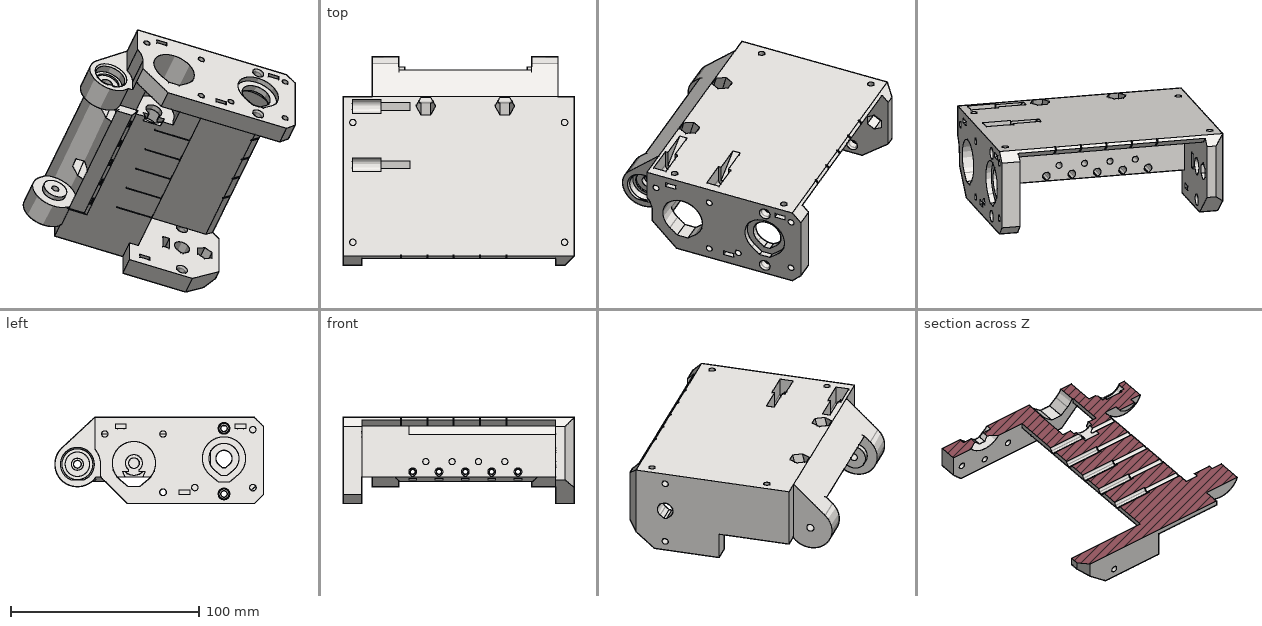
import cadquery as cq
import math

width = 123.0
height = 46.0
wall_thickness = 10.0
wall_rear = 89.8
corner_chamfer = 5.0
right_inner = width - wall_thickness
teardrop_flank_angle = 40.0

body_front = 46.0
body_bottom = 14.2
plate_underside = 41.3
plate_front = 3.6
lip_bottom = height - (corner_chamfer - plate_front)
plate_lip_run = 3.9
body_bevel = 4.4
body_bevel_start = 35.0

hinge_y = 99.05
hinge_z = 21.0
hinge_radius = 12.0
arm_left = 15.4
arm_right = 114.3
arm_overlap = 1.0
drum_left = 29.6
drum_right = 100.3
drum_radius = 12.8
hub_diameter = 13.0
left_hub_length = 3.3
right_hub_length = 2.5
shaft_diameter = 4.0
bearing_diameter = 16.4
bearing_mouth_diameter = 18.0
bearing_flat = 8.4
bearing_depth = 5.0
bearing_taper_depth = 1.0
bearing_relief_depth = 1.0
shaft_clearance_diameter = 6.4
shaft_clearance_depth = 3.0

rail_bottom = 11.8
rail_drop = body_bottom - rail_bottom
rail_front = 79.0
rail_rear = 92.0
rail_left = 27.6
rail_right = 103.3

left_wall_rear_low = 86.7
left_relief_radius = 12.3

right_slope_y = 15.2
right_slope_z = 12.7
right_wall_rear_low = 51.0

motor_y = 69.0
motor_z = 21.6
motor_hole_offset = 15.5
motor_hole_diameter = 3.4
motor_boss_diameter = 23.0
motor_boss_flat = 12.4

cavity_end = 30.0
cavity_half_width = 11.0
web_thickness = 3.0
web_opening_diameter = 9.0
web_neck_width = 5.6
web_flare_z = 17.1
web_flare_top_width = 12.0
web_flare_bottom_width = 9.5
chamber_diameter = 13.0
chamber_depth = 8.0
motor_shaft_diameter = 5.6
motor_shaft_depth = 10.0

head_channel_diameter = 7.2
head_channel_start = 4.9
key_slot_start = 20.1
key_slot_end = 35.5
key_slot_width = 4.2

drive_y = 21.1
drive_z = 24.1
drive_seat_diameter = 23.0
drive_seat_flat = 12.5
drive_seat_depth = 3.0
drive_bore_length = 3.5
drive_flare_diameter = 23.0
drive_bore_diameter = 16.0
drive_bore_tip = 9.0
drive_exit_diameter = 8.5
drive_exit_tip = 4.9
rod_screw_spacing = 34.9
rod_screw_z = 22.65
rod_screw_diameter = 3.3
rod_head_diameter = 6.2
rod_seat_diameter = 5.21
rod_taper_depth = 1.5
rod_seat_depth = 5.0

screw_diameter = 3.4
wall_screws = [(5.76, 39.4), (5.76, 8.6), (36.6, 8.6)]
top_screw_inset = 5.2
top_screw_ys = [12.3, 76.0]
top_screw_depth = 10.0
nut_width = 5.8
nut_thickness = 2.4
nut_slot_depth = 8.0
top_nut_z = 41.15
low_nut_y = 42.2
low_nut_z = 6.0
hex_pocket_y = 8.1
hex_pocket_z = 24.9
hex_pocket_diameter = 9.4
wall_pocket_depth = 8.0
side_pocket_front = 28.3
side_pocket_rear = 32.0
side_pocket_bottom = 20.0
side_pocket_top = 28.3

filament_count = 5
filament_pitch = 14.0
first_filament_x = 37.0
filament_z = 17.0
filament_diameter = 2.6
tube_diameter = 4.1
tube_tip = 2.5
tube_depth = 20.0
body_screw_z = 22.4
body_screw_diameter = 3.3
body_screw_depth = 20.0
rail_slot_width = 4.0
rail_slot_height = 0.7
rail_slot_z = 13.1
rail_slot_depth = 5.0
lip_groove_width = 0.5
lip_groove_depth = 0.6
first_groove_x = 30.8

well_xs = [44.0, 86.0]
well_y = 84.7
well_diameter = 10.4
well_length = 28.0
well_tilt = 14.0


def side_prism(points, x_start, x_end):
    """Extrude a (Y, Z) outline along X."""
    outline = cq.Workplane("YZ", origin=(x_start, 0, 0)).polyline(points).close()
    return outline.extrude(x_end - x_start)


def rod_x(y, z, diameter, x_start, x_end):
    """Cylinder along X."""
    return cq.Workplane("YZ", origin=(x_start, y, z)).circle(diameter / 2).extrude(x_end - x_start)


def rod_y(x, z, diameter, y_start, y_end):
    """Cylinder along Y."""
    return cq.Workplane("XZ", origin=(x, y_start, z)).circle(diameter / 2).extrude(y_start - y_end)


def block(x_start, x_end, y_start, y_end, z_start, z_end):
    """Axis-aligned box given by its limits."""
    size = (x_end - x_start, y_end - y_start, z_end - z_start)
    return cq.Workplane("XY").box(*size, centered=False).translate((x_start, y_start, z_start))


def drop_points(radius, tip):
    """Downward point with flanks tangent to a circle, cut off at the tip depth."""
    slope_sin = math.sin(math.radians(teardrop_flank_angle))
    slope_cos = math.cos(math.radians(teardrop_flank_angle))
    side = radius * slope_sin
    drop = radius * slope_cos
    half_tip = (radius - tip * slope_cos) / slope_sin
    return [(-side, -drop), (-half_tip, -tip), (half_tip, -tip), (side, -drop), (0, 0)]


def teardrop_x(y, z, diameter, tip, x_start, x_end):
    """Teardrop bore along X with its point facing down."""
    plane = cq.Workplane("YZ", origin=(x_start, y, z))
    point = plane.polyline(drop_points(diameter / 2, tip)).close().extrude(x_end - x_start)
    return rod_x(y, z, diameter, x_start, x_end).union(point)


def teardrop_y(x, z, diameter, tip, y_start, y_end):
    """Teardrop bore along Y with its point facing down."""
    plane = cq.Workplane("XZ", origin=(x, y_start, z))
    point = plane.polyline(drop_points(diameter / 2, tip)).close().extrude(y_start - y_end)
    return rod_y(x, z, diameter, y_start, y_end).union(point)


def left_wall():
    return side_prism([
        (0, corner_chamfer), (corner_chamfer, 0), (left_wall_rear_low - body_bottom, 0),
        (left_wall_rear_low, body_bottom), (wall_rear, body_bottom), (wall_rear, height),
        (corner_chamfer, height), (0, height - corner_chamfer),
    ], 0, wall_thickness)


def left_rear_relief():
    """Hinge clearance behind the left wall, round above the hinge axis and straight below it."""
    rounded = rod_x(hinge_y, hinge_z, 2 * left_relief_radius, 0, arm_left)
    straight = block(0, arm_left, left_wall_rear_low, wall_rear, body_bottom, hinge_z)
    return rounded.union(straight)


def right_wall():
    wall = side_prism([
        (0, right_slope_z), (right_slope_y, 0), (right_wall_rear_low, 0),
        (right_wall_rear_low, body_bottom), (wall_rear, body_bottom), (wall_rear, height),
        (corner_chamfer, height), (0, height - corner_chamfer),
    ], right_inner, width)
    corner = cq.Workplane("XY").polyline([
        (width - corner_chamfer, 0), (width, corner_chamfer), (width, 0),
    ]).close().extrude(height)
    return wall.cut(corner)


def cross_body():
    body = side_prism([
        (plate_front, lip_bottom), (plate_front + plate_lip_run, plate_underside),
        (body_front, plate_underside), (body_front, body_bottom), (wall_rear, body_bottom),
        (wall_rear, height), (corner_chamfer, height),
    ], wall_thickness, right_inner)
    bevel = side_prism([
        (body_front, plate_underside), (body_front + body_bevel, plate_underside),
        (body_front, plate_underside - body_bevel),
    ], body_bevel_start, right_inner)
    return body.cut(bevel)


def hinge_arms():
    """Rounded arms whose sloping back is tangent to the hinge circle."""
    rise = height - hinge_z
    run = wall_rear - hinge_y
    angle = math.atan2(rise, run) - math.acos(hinge_radius / math.hypot(rise, run))
    tangent = (hinge_y + hinge_radius * math.cos(angle), hinge_z + hinge_radius * math.sin(angle))
    low_y = hinge_y - math.sqrt(hinge_radius ** 2 - (hinge_z - body_bottom) ** 2)
    return (
        cq.Workplane("YZ", origin=(arm_left, 0, 0))
        .moveTo(wall_rear - arm_overlap, height).lineTo(wall_rear, height).lineTo(*tangent)
        .threePointArc((hinge_y, hinge_z - hinge_radius), (low_y, body_bottom))
        .lineTo(wall_rear - arm_overlap, body_bottom).close()
        .extrude(arm_right - arm_left)
    )


def rail():
    profile = side_prism([
        (rail_front, body_bottom), (rail_front + rail_drop, rail_bottom),
        (rail_rear, rail_bottom), (rail_rear, body_bottom),
    ], rail_left, rail_right)
    ends = cq.Workplane("XZ").polyline([
        (rail_left, body_bottom), (rail_left + rail_drop, rail_bottom),
        (rail_right - rail_drop, rail_bottom), (rail_right, body_bottom),
    ]).close().extrude(-rail_rear)
    return profile.intersect(ends)


def hinge_hubs():
    left = rod_x(hinge_y, hinge_z, hub_diameter, drum_left, drum_left + left_hub_length)
    right = rod_x(hinge_y, hinge_z, hub_diameter, drum_right - right_hub_length, drum_right)
    return left.union(right)


def bearing_seat():
    """Flat-bottomed bearing seat with a tapered mouth, stepping down to the shaft."""
    taper_end = arm_left + bearing_taper_depth
    seat_end = arm_left + bearing_depth
    relief_end = seat_end + bearing_relief_depth
    mouth = (
        cq.Workplane("YZ", origin=(arm_left, hinge_y, hinge_z)).circle(bearing_mouth_diameter / 2)
        .workplane(offset=bearing_taper_depth).circle(bearing_diameter / 2).loft()
    )
    seat = mouth.union(rod_x(hinge_y, hinge_z, bearing_diameter, taper_end, seat_end))
    reach = bearing_mouth_diameter
    keep = block(arm_left, seat_end, hinge_y - reach, hinge_y + reach,
                 hinge_z - bearing_flat, hinge_z + reach)
    seat = seat.intersect(keep)
    seat = seat.union(rod_x(hinge_y, hinge_z, hub_diameter, seat_end, relief_end))
    return seat.union(rod_x(hinge_y, hinge_z, shaft_clearance_diameter, relief_end,
                            relief_end + shaft_clearance_depth))


def motor_mount():
    """Pilot bore through the left wall and the low mounting hole."""
    cutter = teardrop_x(motor_y, motor_z, motor_boss_diameter, motor_boss_flat, 0, wall_thickness)
    low_y = motor_y - motor_hole_offset
    low_z = motor_z - motor_hole_offset
    return cutter.union(rod_x(low_y, low_z, motor_hole_diameter, 0, wall_thickness))


def pulley_cavity():
    """Arched cavity open at the bottom, ending in a slotted web, a round chamber and a shaft hole."""
    arch = rod_x(motor_y, motor_z, motor_boss_diameter, wall_thickness, cavity_end)
    mouth = block(wall_thickness, cavity_end, motor_y - cavity_half_width, motor_y + cavity_half_width,
                  body_bottom, motor_z)
    web_end = cavity_end + web_thickness
    opening = rod_x(motor_y, motor_z, web_opening_diameter, cavity_end, web_end)
    half_neck = web_neck_width / 2
    neck = block(cavity_end, web_end, motor_y - half_neck, motor_y + half_neck, body_bottom, motor_z)
    flare = side_prism([
        (motor_y - web_flare_top_width / 2, web_flare_z),
        (motor_y + web_flare_top_width / 2, web_flare_z),
        (motor_y + web_flare_bottom_width / 2, body_bottom),
        (motor_y - web_flare_bottom_width / 2, body_bottom),
    ], cavity_end, web_end)
    chamber_end = web_end + chamber_depth
    chamber = rod_x(motor_y, motor_z, chamber_diameter, web_end, chamber_end)
    shaft = rod_x(motor_y, motor_z, motor_shaft_diameter, chamber_end, chamber_end + motor_shaft_depth)
    return arch.union(mouth).union(opening).union(neck).union(flare).union(chamber).union(shaft)


def motor_screw_access(y):
    """Screw hole, head channel open to the top face, and a ramp for the key."""
    z = motor_z + motor_hole_offset
    half_head = head_channel_diameter / 2
    half_slot = key_slot_width / 2
    hole = rod_x(y, z, motor_hole_diameter, 0, head_channel_start)
    channel = rod_x(y, z, head_channel_diameter, head_channel_start, key_slot_start)
    opening = block(head_channel_start, key_slot_start, y - half_head, y + half_head, z, height)
    ramp = cq.Workplane("XZ", origin=(0, y + half_slot, 0)).polyline([
        (key_slot_start, z), (key_slot_end, height), (key_slot_start, height),
    ]).close().extrude(key_slot_width)
    return hole.union(channel).union(opening).union(ramp)


def drive_bore():
    """Seated bore flaring toward the inside of the left wall, and a smaller exit on the right."""
    bore_end = drive_seat_depth + drive_bore_length
    cutter = teardrop_x(drive_y, drive_z, drive_seat_diameter, drive_seat_flat, 0, drive_seat_depth)
    flare = (
        cq.Workplane("YZ", origin=(bore_end, drive_y, drive_z)).circle(drive_bore_diameter / 2)
        .workplane(offset=wall_thickness - bore_end).circle(drive_flare_diameter / 2).loft()
    )
    cutter = cutter.union(flare)
    cutter = cutter.union(teardrop_x(drive_y, drive_z, drive_bore_diameter, drive_bore_tip,
                                     drive_seat_depth, wall_thickness))
    return cutter.union(teardrop_x(drive_y, drive_z, drive_exit_diameter, drive_exit_tip,
                                   right_inner, width))


def rod_screw(z, x_start):
    """Through hole with a tapered mouth and a head seat, entered from the -X side of a wall."""
    taper = (
        cq.Workplane("YZ", origin=(x_start, drive_y, z)).circle(rod_head_diameter / 2)
        .workplane(offset=rod_taper_depth).circle(rod_seat_diameter / 2).loft()
    )
    seat = rod_x(drive_y, z, rod_seat_diameter, x_start, x_start + rod_seat_depth)
    hole = rod_x(drive_y, z, rod_screw_diameter, x_start, x_start + wall_thickness)
    return taper.union(seat).union(hole)


def nut_slot(y, z, x_start):
    half_width = nut_width / 2
    half_thickness = nut_thickness / 2
    return block(x_start, x_start + nut_slot_depth, y - half_width, y + half_width,
                 z - half_thickness, z + half_thickness)


def top_screw(x, y):
    plane = cq.Workplane("XY", origin=(x, y, height - top_screw_depth))
    return plane.circle(screw_diameter / 2).extrude(top_screw_depth)


def hex_well(x):
    """Hexagonal well leaning rearward, trimmed level with the top face."""
    well = (
        cq.Workplane("XY", origin=(x, well_y, height))
        .transformed(rotate=(well_tilt, 0, 0))
        .polygon(6, well_diameter).extrude(well_length, both=True)
    )
    below = block(x - well_diameter, x + well_diameter, 0, hinge_y, 0, height)
    return well.intersect(below)


def right_wall_pockets():
    """Hexagonal and rectangular pockets beside the drive bore, open to the inside."""
    pocket_end = right_inner + wall_pocket_depth
    hexagon = (
        cq.Workplane("YZ", origin=(right_inner, hex_pocket_y, hex_pocket_z))
        .transformed(rotate=(0, 0, 90)).polygon(6, hex_pocket_diameter).extrude(wall_pocket_depth)
    )
    side_pocket = block(right_inner, pocket_end, side_pocket_front, side_pocket_rear,
                        side_pocket_bottom, side_pocket_top)
    return hexagon.union(side_pocket)


def filament_channel(x):
    tube = teardrop_y(x, filament_z, tube_diameter, tube_tip, body_front, body_front + tube_depth)
    bore = rod_y(x, filament_z, filament_diameter, body_front, hinge_y)
    rail_slot = block(x - rail_slot_width / 2, x + rail_slot_width / 2,
                      rail_front, rail_front + rail_slot_depth,
                      rail_slot_z - rail_slot_height / 2, rail_slot_z + rail_slot_height / 2)
    return tube.union(bore).union(rail_slot)


def lip_groove(x):
    """Narrow groove following the front bevel and sloping underside of the top plate."""
    depth = lip_groove_depth
    return side_prism([
        (corner_chamfer, height), (plate_front, lip_bottom),
        (plate_front + plate_lip_run, plate_underside),
        (plate_front + plate_lip_run + depth, plate_underside),
        (plate_front + depth, lip_bottom), (corner_chamfer + depth, height),
    ], x - lip_groove_width / 2, x + lip_groove_width / 2)


result = left_wall().union(right_wall()).union(cross_body()).cut(left_rear_relief())
result = result.union(hinge_arms()).union(rail())
result = result.cut(rod_x(hinge_y, hinge_z, 2 * drum_radius, drum_left, drum_right))
result = result.union(hinge_hubs())

result = result.cut(rod_x(hinge_y, hinge_z, shaft_diameter, arm_left, arm_right))
result = result.cut(bearing_seat()).cut(motor_mount()).cut(pulley_cavity()).cut(drive_bore())
for screw_y in (motor_y - motor_hole_offset, motor_y + motor_hole_offset):
    result = result.cut(motor_screw_access(screw_y))

for wall_start in (0, right_inner):
    for side in (-1, 1):
        result = result.cut(rod_screw(rod_screw_z + side * rod_screw_spacing / 2, wall_start))
    result = result.cut(nut_slot(low_nut_y, low_nut_z, wall_start))
for screw_y, screw_z in wall_screws:
    result = result.cut(rod_x(screw_y, screw_z, screw_diameter, 0, wall_thickness))
for screw_y in top_screw_ys:
    result = result.cut(nut_slot(screw_y, top_nut_z, 0))
    for screw_x in (top_screw_inset, width - top_screw_inset):
        result = result.cut(top_screw(screw_x, screw_y))
result = result.cut(right_wall_pockets())

for index in range(filament_count):
    result = result.cut(filament_channel(first_filament_x + index * filament_pitch))
    result = result.cut(lip_groove(first_groove_x + index * filament_pitch))
for index in range(filament_count - 1):
    screw_x = first_filament_x + (index + 0.5) * filament_pitch
    result = result.cut(rod_y(screw_x, body_screw_z, body_screw_diameter, body_front,
                              body_front + body_screw_depth))
for well_x in well_xs:
    result = result.cut(hex_well(well_x))